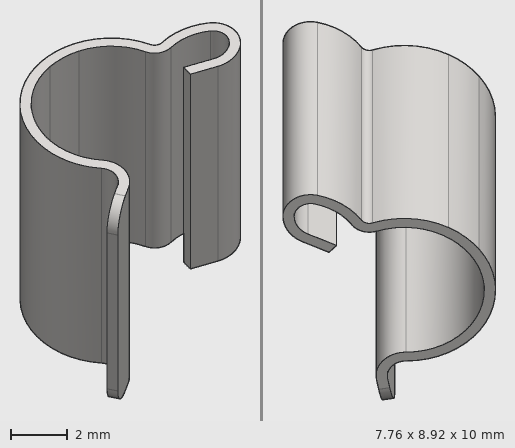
import cadquery as cq
import math

strip_width = 10.0
wall = 0.4
tip_corner_radius = 1.0

start_point = (0.02, -2.96)
start_heading_to_hook = 180.0
start_heading_to_flare = 0.0

hook_bends = [
    (2.97, -76.5),
    (3.09, -25.6),
    (3.01, -49.6),
    (0.54, 77.1),
    (2.42, -42.7),
    (0.78, -105.3),
    (1.08, -61.9),
]
flare_bends = [
    (2.97, 48.7),
    (0.86, -100.3),
]
hook_tip_y = 3.17
flare_length = 1.42


def shifted(point, heading, distance):
    """Move a point along a heading given in degrees."""
    angle = math.radians(heading)
    return (point[0] + distance * math.cos(angle), point[1] + distance * math.sin(angle))


def left_of(point, heading, distance):
    """Move a point square to a heading, to its left when distance is positive."""
    return shifted(point, heading + 90, distance)


def follow_bends(heading, bends, offset):
    """Arcs as (middle, end) points of a path parallel to the centreline.

    Also returns the centreline point and heading reached after the last bend.
    """
    point = start_point
    arcs = []
    for radius, turn in bends:
        signed_radius = math.copysign(radius, turn)
        centre = left_of(point, heading, signed_radius)
        middle_heading = heading + turn / 2
        heading += turn
        middle = left_of(centre, middle_heading, offset - signed_radius)
        point = left_of(centre, heading, -signed_radius)
        arcs.append((middle, left_of(point, heading, offset)))
    return arcs, point, heading


def add_arcs(outline, arcs):
    for middle, end in arcs:
        outline = outline.threePointArc(middle, end)
    return outline


def add_arcs_reversed(outline, arcs, first_point):
    """Trace the arcs from their far end back to first_point."""
    ends = [first_point] + [end for _, end in arcs]
    for index in reversed(range(len(arcs))):
        outline = outline.threePointArc(arcs[index][0], ends[index])
    return outline


def hook_tip(point, heading):
    """Carry a straight face down to the level cut at the end of the hook."""
    distance = (hook_tip_y - point[1]) / math.sin(math.radians(heading))
    return shifted(point, heading, distance)


def make_strip():
    half = wall / 2
    outer_hook, _, hook_heading = follow_bends(start_heading_to_hook, hook_bends, half)
    inner_hook, _, _ = follow_bends(start_heading_to_hook, hook_bends, -half)
    outer_flare, flare_point, flare_heading = follow_bends(start_heading_to_flare, flare_bends, -half)
    inner_flare, _, _ = follow_bends(start_heading_to_flare, flare_bends, half)

    outer_start = left_of(start_point, start_heading_to_hook, half)
    inner_start = left_of(start_point, start_heading_to_hook, -half)
    flare_tip = shifted(flare_point, flare_heading, flare_length)

    outline = cq.Workplane("XY").moveTo(*outer_start)
    outline = add_arcs(outline, outer_hook)
    outline = outline.lineTo(*hook_tip(outer_hook[-1][1], hook_heading))
    outline = outline.lineTo(*hook_tip(inner_hook[-1][1], hook_heading))
    outline = outline.lineTo(*inner_hook[-1][1])
    outline = add_arcs_reversed(outline, inner_hook, inner_start)
    outline = add_arcs(outline, inner_flare)
    outline = outline.lineTo(*left_of(flare_tip, flare_heading, half))
    outline = outline.lineTo(*left_of(flare_tip, flare_heading, -half))
    outline = outline.lineTo(*outer_flare[-1][1])
    outline = add_arcs_reversed(outline, outer_flare, outer_start)
    return outline.close().extrude(strip_width)


def round_flare_corners(strip):
    """Round the two corners at the free end of the flare, across the wall."""
    end_face = strip.faces(">X")
    corner_edges = end_face.edges("not |Z")
    return corner_edges.fillet(tip_corner_radius)


result = round_flare_corners(make_strip())